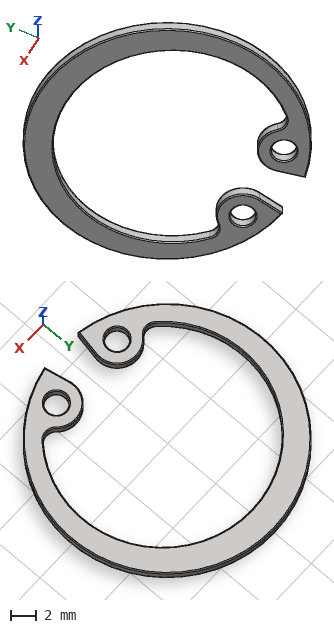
import math

import cadquery as cq

thickness = 1.0
outer_radius = 11.25
bore_radius = 9.34
bore_center_y = -0.47
edge_chamfer = 0.1

gap_half_angle = math.radians(10)
lug_x = 3.55
lug_y = -8.42
lug_radius = 2.1
hole_diameter = 2.0
valley_radius = 1.01

tip_x = outer_radius * math.sin(gap_half_angle)
tip_y = -outer_radius * math.cos(gap_half_angle)
tip_distance = math.hypot(tip_x - lug_x, tip_y - lug_y)
tip_direction = math.atan2(tip_y - lug_y, tip_x - lug_x)
tangent_angle = tip_direction - math.acos(lug_radius / tip_distance)
tangent_x = lug_x + lug_radius * math.cos(tangent_angle)
tangent_y = lug_y + lug_radius * math.sin(tangent_angle)


def disk(x, y, radius):
    return cq.Workplane("XY").center(x, y).circle(radius).extrude(thickness)


def prism(points):
    return cq.Workplane("XY").polyline(points).close().extrude(thickness)


def lug(side):
    """Round lug with a web down to its tip; side is -1 for left, 1 for right."""
    web = prism([
        (side * lug_x, lug_y),
        (side * tangent_x, tangent_y),
        (side * tip_x, tip_y),
    ])
    return disk(side * lug_x, lug_y, lug_radius).union(web)


def gap():
    """Opening between the two lugs, continued past the outer rim."""
    below_rim = -1.2 * outer_radius
    return prism([
        (-tangent_x, tangent_y),
        (-tip_x, tip_y),
        (-tip_x, below_rim),
        (tip_x, below_rim),
        (tip_x, tip_y),
        (tangent_x, tangent_y),
    ])


def valley_corner():
    """Right-hand point where the bore circle meets the lug circle."""
    dx = lug_x
    dy = lug_y - bore_center_y
    distance = math.hypot(dx, dy)
    along = (distance**2 + bore_radius**2 - lug_radius**2) / (2 * distance)
    across = math.sqrt(bore_radius**2 - along**2)
    x = (along * dx - across * dy) / distance
    y = bore_center_y + (along * dy + across * dx) / distance
    return x, y


ring = disk(0, 0, outer_radius).cut(disk(0, bore_center_y, bore_radius)).cut(gap())
ring = ring.union(lug(-1)).union(lug(1))

valley_x, valley_y = valley_corner()
for side in (-1, 1):
    corner = cq.selectors.NearestToPointSelector((side * valley_x, valley_y, thickness / 2))
    ring = ring.edges(corner).fillet(valley_radius)

for side in (-1, 1):
    ring = ring.cut(disk(side * lug_x, lug_y, hole_diameter / 2))

result = ring.faces("<Z or >Z").edges().chamfer(edge_chamfer)